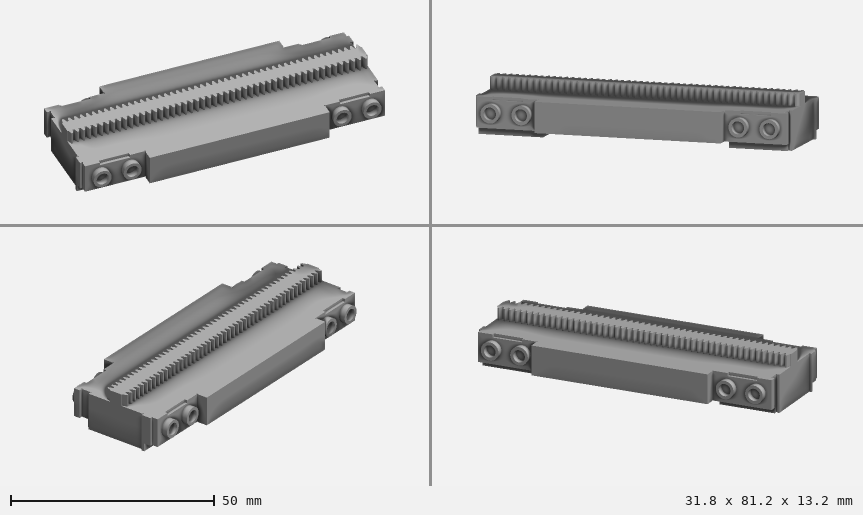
import cadquery as cq

plate_width = 31.8
plate_length = 80.0
plate_thickness = 7.8
middle_length = 48.0
end_width = 25.8

foot_width = 18.4
foot_height = 2.2

rack_height = 3.2
tooth_pitch = 1.6
tooth_tip_offset = 3.1
tooth_root_offset = 1.8
tooth_tip_width = 0.4
tooth_root_width = 0.4
tooth_count = round(plate_length / tooth_pitch)

peg_diameter = 4.8
peg_bore_diameter = 3.2
peg_length = 1.7
peg_spacing = 8.0
peg_pair_y = 32.0

recess_length = peg_spacing
recess_size = 0.8

key_x = 9.8
tab_width = 2.7
tab_length = 0.6
notch_width = 2.7
notch_depth = 0.9
relief_radius = 0.2

body_height = foot_height + plate_thickness
peg_z = foot_height + plate_thickness / 2
overlap = 0.5

END_SIGNS = (-1, 1)
SIDE_SIGNS = (-1, 1)


def box(width, length, height, x, y, bottom):
    """Box centred on x and y that stands on the given height."""
    block = cq.Workplane("XY").box(width, length, height, centered=(True, True, False))
    return block.translate((x, y, bottom))


def make_plate():
    ends = box(end_width, plate_length, plate_thickness, 0, 0, foot_height)
    middle = box(plate_width, middle_length, plate_thickness, 0, 0, foot_height)
    return ends.union(middle)


def make_feet():
    feet = box(foot_width, plate_length, body_height, 0, 0, 0)
    gap = box(foot_width, middle_length, foot_height, 0, 0, 0)
    return feet.cut(gap)


def make_tabs():
    """Tabs at +X on the -Y end and at -X on the +Y end, trimmed to the feet below the plate."""
    tabs = cq.Workplane("XY")
    foot_inner_x = key_x - tab_width / 2
    lower_width = foot_width / 2 - foot_inner_x
    lower_x = foot_inner_x + lower_width / 2
    length = tab_length + overlap
    centre_y = plate_length / 2 + (tab_length - overlap) / 2
    for end in END_SIGNS:
        upper = box(tab_width, length, plate_thickness, -end * key_x, end * centre_y, foot_height)
        lower = box(lower_width, length, body_height, -end * lower_x, end * centre_y, 0)
        tabs = tabs.union(upper).union(lower)
    return tabs


def make_notches():
    notches = cq.Workplane("XY")
    centre_y = (plate_length - notch_depth) / 2
    for end in END_SIGNS:
        notches = notches.union(box(notch_width, notch_depth, body_height, end * key_x, end * centre_y, 0))
    return notches


def half_round_relief(corner, direction):
    """Half-round groove centred on a corner and bulging along the unit vector direction."""
    x, y = corner
    along_x, along_y = direction
    across_x = -along_y * relief_radius
    across_y = along_x * relief_radius
    return (
        cq.Workplane("XY")
        .moveTo(x + across_x, y + across_y)
        .threePointArc(
            (x + along_x * relief_radius, y + along_y * relief_radius),
            (x - across_x, y - across_y),
        )
        .close()
        .extrude(body_height)
    )


def round_relief(corner):
    """Round groove centred on a corner."""
    return cq.Workplane("XY").center(*corner).circle(relief_radius).extrude(body_height)


def make_corner_reliefs():
    """Half-round reliefs in the step and end faces, and round ones in the notch corners."""
    reliefs = cq.Workplane("XY")
    for end in END_SIGNS:
        for side in SIDE_SIGNS:
            step_corner = (side * end_width / 2, end * middle_length / 2)
            tab_corner = (-end * key_x + side * tab_width / 2, end * plate_length / 2)
            notch_corner = (end * key_x + side * notch_width / 2, end * (plate_length / 2 - notch_depth))
            reliefs = reliefs.union(half_round_relief(step_corner, (0, -end)))
            reliefs = reliefs.union(half_round_relief(tab_corner, (0, -end)))
            reliefs = reliefs.union(round_relief(notch_corner))
    return reliefs


def make_recesses():
    recesses = cq.Workplane("XY")
    centre_x = (end_width - recess_size) / 2
    for end in END_SIGNS:
        for side in SIDE_SIGNS:
            recess = box(recess_size, recess_length, recess_size,
                         side * centre_x, end * peg_pair_y, body_height - recess_size)
            recesses = recesses.union(recess)
    return recesses


def peg_cylinders(diameter, inner_x):
    """Cylinders from inner_x to the peg faces, at every peg place on both sides."""
    peg_ys = [end * peg_pair_y + step * peg_spacing / 2 for end in END_SIGNS for step in (-1, 1)]
    length = end_width / 2 + peg_length - inner_x
    right = (
        cq.Workplane("YZ", origin=(inner_x, 0, 0))
        .pushPoints([(y, peg_z) for y in peg_ys])
        .circle(diameter / 2)
        .extrude(length)
    )
    return right.union(right.mirror("YZ"))


def make_rack():
    """Rack with trapezoidal teeth on both sides; both ends fall in the middle of a root."""
    flank_start = tooth_root_width / 2
    tip_start = (tooth_pitch - tooth_tip_width) / 2
    right = [(tooth_root_offset, -plate_length / 2)]
    for index in range(tooth_count):
        start_y = index * tooth_pitch - plate_length / 2
        end_y = start_y + tooth_pitch
        right.append((tooth_root_offset, start_y + flank_start))
        right.append((tooth_tip_offset, start_y + tip_start))
        right.append((tooth_tip_offset, end_y - tip_start))
        right.append((tooth_root_offset, end_y - flank_start))
    right.append((tooth_root_offset, plate_length / 2))
    left = [(-x, y) for x, y in reversed(right)]
    rack = cq.Workplane("XY").polyline(right + left).close().extrude(rack_height + overlap)
    return rack.translate((0, 0, body_height - overlap))


body = make_plate().union(make_feet()).union(make_tabs())
body = body.cut(make_notches()).cut(make_corner_reliefs()).cut(make_recesses())
body = body.union(peg_cylinders(peg_diameter, end_width / 2 - overlap))
body = body.cut(peg_cylinders(peg_bore_diameter, end_width / 2))
result = body.union(make_rack())